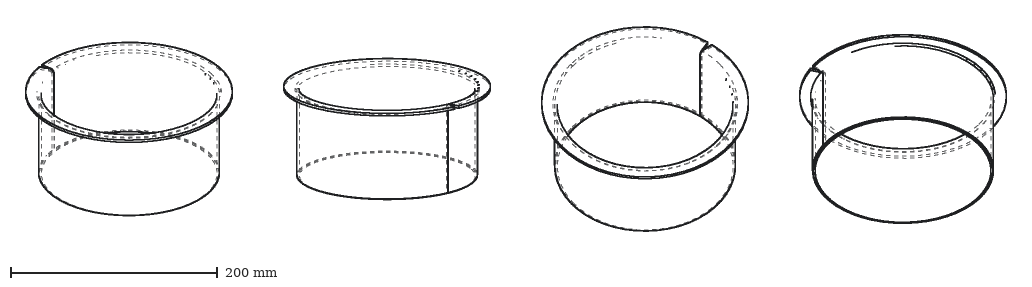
import cadquery as cq
import math

flange_diameter = 200.0
bore_diameter = 170.0
tube_diameter = 175.0
height = 90.0
bend_outer_radius = 4.5
rim_chamfer = 0.8

split_angle = 181.8
split_width = 0.5
flange_gap = 4.8

flange_radius = flange_diameter / 2
bore_radius = bore_diameter / 2
tube_radius = tube_diameter / 2
wall = tube_radius - bore_radius
bend_inner_radius = bend_outer_radius - wall
flange_underside = height - wall
bend_center_radius = bore_radius + bend_outer_radius
bend_center_height = height - bend_outer_radius


def bend_point(radius):
    """Midpoint of the quarter bend at the given bend radius."""
    offset = radius * math.sqrt(0.5)
    return bend_center_radius - offset, bend_center_height + offset


def flanged_sleeve():
    """Revolve the constant-thickness tube wall, bend and flange about Z."""
    profile = (
        cq.Workplane("XZ")
        .moveTo(bore_radius, 0)
        .lineTo(tube_radius - rim_chamfer, 0)
        .lineTo(tube_radius, rim_chamfer)
        .lineTo(tube_radius, bend_center_height)
        .threePointArc(bend_point(bend_inner_radius), (bend_center_radius, flange_underside))
        .lineTo(flange_radius, flange_underside)
        .lineTo(flange_radius, height)
        .lineTo(bend_center_radius, height)
        .threePointArc(bend_point(bend_outer_radius), (bore_radius, bend_center_height))
        .close()
    )
    return profile.revolve(360, (0, 0, 0), (0, 1, 0))


def split_cutter():
    """Radial slot through the tube wall that widens to the flange rim."""
    half_split = split_width / 2
    half_gap = flange_gap / 2
    overrun = wall
    taper = (half_gap - half_split) / (flange_radius - tube_radius)
    half_end = half_gap + taper * overrun
    start = bore_radius - overrun
    end = flange_radius + overrun
    outline = [
        (start, -half_split),
        (tube_radius, -half_split),
        (end, -half_end),
        (end, half_end),
        (tube_radius, half_split),
        (start, half_split),
    ]
    cutter = cq.Workplane("XY").polyline(outline).close().extrude(height)
    return cutter.rotate((0, 0, 0), (0, 0, 1), split_angle)


result = flanged_sleeve().cut(split_cutter())